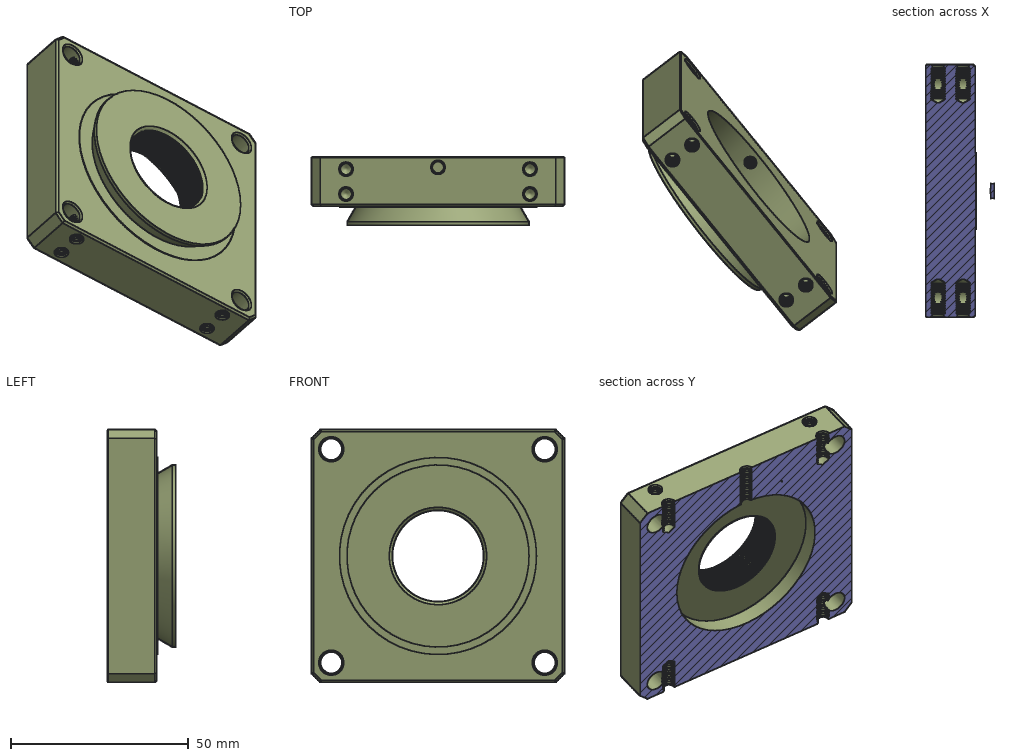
import math

import cadquery as cq

PLATE_SIZE = 71.12
PLATE_THICKNESS = 14.0
CORNER_CHAMFER = 2.5
FRONT_EDGE_CHAMFER = 0.6
BACK_EDGE_CHAMFER = 0.3

HUB_HEIGHT = 5.3
SEAT_DIAMETER = 55.4
SEAT_HEIGHT = 0.2
RIM_DIAMETER = 51.2
RIM_HEIGHT = 1.0
DOVETAIL_ANGLE = 30.0

BORE_MINOR_DIAMETER = 25.6
BORE_MAJOR_DIAMETER = 26.3
BORE_PITCH = 0.635
BORE_MOUTH_DIAMETER = 27.4
RECESS_DIAMETER = 46.2
RECESS_DEPTH = 8.1

CORNER_HOLE_SPACING = 60.0
CORNER_HOLE_DIAMETER = 6.0
CORNER_HOLE_CHAMFER = 0.5

EDGE_THREAD_MAJOR_DIAMETER = 4.0
EDGE_THREAD_MINOR_DIAMETER = 3.2
EDGE_THREAD_PITCH = 0.7
EDGE_HOLE_X = 25.85
EDGE_HOLE_Y_SPACING = 7.0
EDGE_HOLE_DEPTH = 10.0
DRILL_POINT_ANGLE = 118.0
LOCK_HOLE_FROM_BACK = 3.0


def revolve_profile(plane, profile):
    """Revolve (radius, height) points about the vertical axis of the plane: Y of XY, Z of XZ."""
    return cq.Workplane(plane).polyline(profile).close().revolve(360, (0, 0), (0, 1))


def make_plate():
    plate = cq.Workplane("XZ").rect(PLATE_SIZE, PLATE_SIZE).extrude(-PLATE_THICKNESS)
    plate = plate.edges("|Y").chamfer(CORNER_CHAMFER)
    plate = plate.faces("<Y").chamfer(FRONT_EDGE_CHAMFER)
    return plate.faces(">Y").chamfer(BACK_EDGE_CHAMFER)


def make_hub():
    """Revolve the seat, dovetail cone and rim about the Y axis."""
    rim_radius = RIM_DIAMETER / 2
    seat_radius = SEAT_DIAMETER / 2
    cone_height = HUB_HEIGHT - SEAT_HEIGHT - RIM_HEIGHT
    neck_radius = rim_radius - cone_height * math.tan(math.radians(DOVETAIL_ANGLE))
    root_y = PLATE_THICKNESS / 2
    profile = [
        (0, root_y),
        (seat_radius, root_y),
        (seat_radius, -SEAT_HEIGHT),
        (neck_radius, -SEAT_HEIGHT),
        (rim_radius, RIM_HEIGHT - HUB_HEIGHT),
        (rim_radius, -HUB_HEIGHT),
        (0, -HUB_HEIGHT),
    ]
    return revolve_profile("XY", profile)


def threaded_profile(minor_radius, major_radius, pitch, start, length):
    """Points of a wall with V grooves, one per pitch, as (radius, distance along the axis)."""
    points = [(minor_radius, start)]
    for turn in range(int(length / pitch)):
        groove_start = start + turn * pitch
        points.append((major_radius, groove_start + pitch / 2))
        points.append((minor_radius, groove_start + pitch))
    return points


def make_bore_cutter():
    """Bore with a chamfered mouth in the hub face, a threaded wall and the wide back recess."""
    minor_radius = BORE_MINOR_DIAMETER / 2
    mouth_radius = BORE_MOUTH_DIAMETER / 2
    major_radius = BORE_MAJOR_DIAMETER / 2
    recess_radius = RECESS_DIAMETER / 2
    recess_floor_y = PLATE_THICKNESS - RECESS_DEPTH
    mouth_end = mouth_radius - major_radius - HUB_HEIGHT
    thread_start = mouth_end + BORE_PITCH / 2
    thread_length = recess_floor_y - thread_start
    profile = [(0, -HUB_HEIGHT), (mouth_radius, -HUB_HEIGHT), (major_radius, mouth_end)]
    profile += threaded_profile(
        minor_radius, major_radius, BORE_PITCH, thread_start, thread_length
    )
    profile += [
        (minor_radius, recess_floor_y),
        (recess_radius, recess_floor_y),
        (recess_radius, PLATE_THICKNESS),
        (0, PLATE_THICKNESS),
    ]
    return revolve_profile("XY", profile)


def make_corner_hole_cutter():
    radius = CORNER_HOLE_DIAMETER / 2
    mouth_radius = radius + CORNER_HOLE_CHAMFER
    profile = [
        (0, 0),
        (mouth_radius, 0),
        (radius, CORNER_HOLE_CHAMFER),
        (radius, PLATE_THICKNESS - CORNER_HOLE_CHAMFER),
        (mouth_radius, PLATE_THICKNESS),
        (0, PLATE_THICKNESS),
    ]
    return revolve_profile("XY", profile)


def make_edge_hole_cutter(depth, point_height):
    """Threaded blind hole running down from the top edge of the plate, on the Z axis."""
    top_z = PLATE_SIZE / 2
    minor_radius = EDGE_THREAD_MINOR_DIAMETER / 2
    major_radius = EDGE_THREAD_MAJOR_DIAMETER / 2
    mouth_depth = major_radius - minor_radius
    mouth_z = top_z - mouth_depth
    profile = [(0, top_z - depth - point_height)]
    profile += threaded_profile(
        minor_radius, major_radius, EDGE_THREAD_PITCH, top_z - depth, depth - mouth_depth
    )
    profile += [(minor_radius, mouth_z), (major_radius, top_z), (0, top_z)]
    return revolve_profile("XZ", profile)


def cut_corner_holes(body):
    offset = CORNER_HOLE_SPACING / 2
    cutter = make_corner_hole_cutter()
    for x in (-offset, offset):
        for z in (-offset, offset):
            body = body.cut(cutter.translate((x, 0, z)))
    return body


def cut_edge_holes(body):
    """Pairs of pointed holes near both ends of the top and bottom edges."""
    minor_radius = EDGE_THREAD_MINOR_DIAMETER / 2
    point_height = minor_radius / math.tan(math.radians(DRILL_POINT_ANGLE / 2))
    from_top = make_edge_hole_cutter(EDGE_HOLE_DEPTH, point_height)
    from_bottom = from_top.mirror("XY")
    middle_y = PLATE_THICKNESS / 2
    for x in (-EDGE_HOLE_X, EDGE_HOLE_X):
        for y in (middle_y - EDGE_HOLE_Y_SPACING / 2, middle_y + EDGE_HOLE_Y_SPACING / 2):
            body = body.cut(from_top.translate((x, y, 0)))
            body = body.cut(from_bottom.translate((x, y, 0)))
    return body


def cut_lock_hole(body):
    """Threaded hole from the middle of the top edge through into the back recess."""
    depth_past_wall = (PLATE_SIZE - RECESS_DIAMETER) / 2 + EDGE_THREAD_MAJOR_DIAMETER / 2
    cutter = make_edge_hole_cutter(depth_past_wall, 0)
    return body.cut(cutter.translate((0, PLATE_THICKNESS - LOCK_HOLE_FROM_BACK, 0)))


body = make_plate().union(make_hub())
body = body.cut(make_bore_cutter())
body = cut_corner_holes(body)
body = cut_edge_holes(body)
result = cut_lock_hole(body)